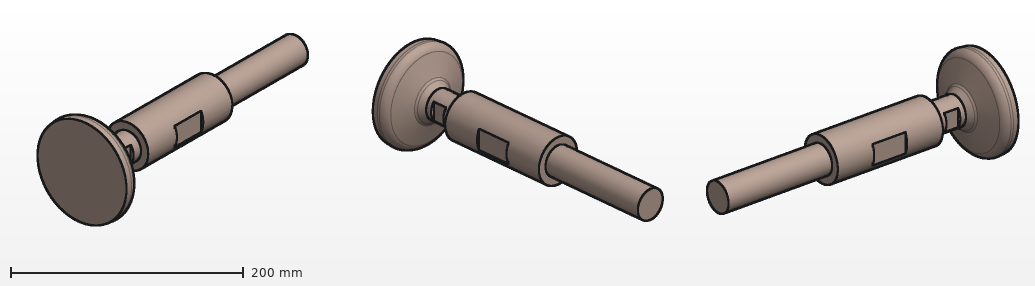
import cadquery as cq

total_length = 290.0

stem_diameter = 30.2
stem_flat_width = 23.8
stem_flat_start = 36.8
stem_flat_length = 15.0

sleeve_diameter = 46.0
sleeve_start = 62.0
sleeve_length = 114.8
sleeve_flat_width = 41.2
sleeve_flat_start = 101.2
sleeve_flat_length = 36.0

foot_diameter = 100.0
sole_diameter = 98.5
rim_edge_diameter = 99.8
rim_bottom = 6.0
rim_top = 8.7
shoulder_diameter = 86.5
shoulder_height = 16.0
neck_bottom_diameter = 44.0
neck_bottom = 23.5
neck_blend_diameter = 40.0
neck_blend = 25.2
neck_top = 30.7


def cylinder_along_y(diameter, start, length):
    """Cylinder around the Y axis from start to start + length."""
    return cq.Workplane("XZ", origin=(0, start, 0)).circle(diameter / 2).extrude(-length)


def cut_wrench_flats(body, diameter, flat_width, start, length):
    """Cut two parallel flats, facing -X and +X, into a round body."""
    for side in (-1, 1):
        cutter = cq.Workplane("XY").box(diameter, length, 2 * diameter)
        offset = side * (flat_width + diameter) / 2
        body = body.cut(cutter.translate((offset, start + length / 2, 0)))
    return body


def make_foot_plate():
    """Revolved plate with a bulging rim, a sloping top and a conical neck."""
    profile = (
        cq.Workplane("XY")
        .moveTo(0, neck_top)
        .lineTo(stem_diameter / 2, neck_top)
        .lineTo(neck_blend_diameter / 2, neck_blend)
        .tangentArcPoint((neck_bottom_diameter / 2, neck_bottom), relative=False)
        .lineTo(shoulder_diameter / 2, shoulder_height)
        .tangentArcPoint((rim_edge_diameter / 2, rim_top), relative=False)
        .threePointArc((foot_diameter / 2, (rim_top + rim_bottom) / 2), (rim_edge_diameter / 2, rim_bottom))
        .lineTo(sole_diameter / 2, 0)
        .lineTo(0, 0)
        .close()
    )
    return profile.revolve(360, (0, 0, 0), (0, 1, 0))


def make_foot():
    """Foot plate and stem in one piece."""
    stem = cylinder_along_y(stem_diameter, neck_top, total_length - neck_top)
    stem = cut_wrench_flats(stem, stem_diameter, stem_flat_width, stem_flat_start, stem_flat_length)
    return make_foot_plate().union(stem)


def make_sleeve():
    """Sleeve with a bore that fits the stem."""
    sleeve = cylinder_along_y(sleeve_diameter, sleeve_start, sleeve_length)
    sleeve = sleeve.cut(cylinder_along_y(stem_diameter, sleeve_start, sleeve_length))
    return cut_wrench_flats(
        sleeve, sleeve_diameter, sleeve_flat_width, sleeve_flat_start, sleeve_flat_length
    )


foot = make_foot()
sleeve = make_sleeve()

result = cq.Compound.makeCompound([foot.val(), sleeve.val()])